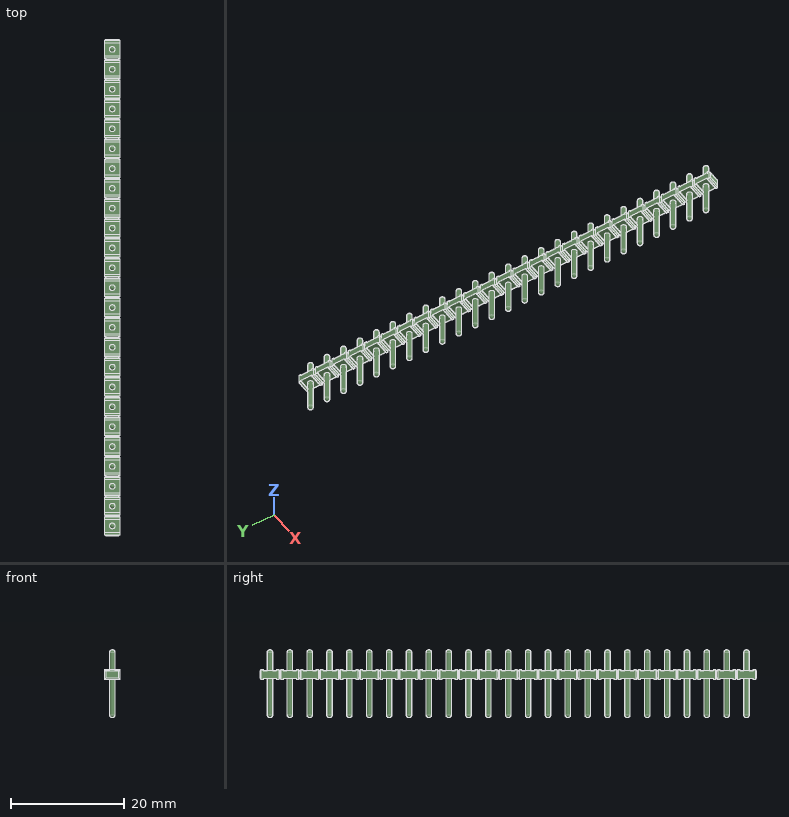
import cadquery as cq
import math

pin_count = 25
pitch = 3.5

body_width = 2.8
body_height = 1.8
collar_length = 0.6
collar_rise = 0.2
groove_depth = 0.3
groove_half_width = 0.2

pin_radius = 0.5
pin_length = 12.0
pin_above_body = 3.5

first_pin_y = -(pin_count - 1) * pitch / 2
pin_top_z = body_height / 2 + pin_above_body
pin_bottom_z = pin_top_z - pin_length


def tapered_end(cell_y, side):
    """Frustum that narrows from the full cell section to the end face on one side (+1 or -1) in Y."""
    full_y = cell_y + side * (pitch / 2 - groove_half_width)
    plane = cq.Plane(origin=(0, full_y, 0), xDir=(1, 0, 0), normal=(0, side, 0))
    return (
        cq.Workplane(plane)
        .rect(body_width, body_height)
        .workplane(offset=groove_half_width)
        .rect(body_width - 2 * groove_depth, body_height - 2 * groove_depth)
        .loft(combine=True)
    )


def insulator_cell(cell_y):
    """Block with a tapered face at each end and a recess above and below, leaving a collar at each end."""
    straight_length = pitch - 2 * groove_half_width
    recess_length = pitch - 2 * collar_length
    cell = cq.Workplane("XY").box(body_width, straight_length, body_height)
    recess = cq.Workplane("XY").box(body_width, recess_length, collar_rise)
    for side in (1, -1):
        recess_z = side * (body_height - collar_rise) / 2
        cell = cell.cut(recess.translate((0, 0, recess_z)))
    cell = cell.translate((0, cell_y, 0))
    for side in (1, -1):
        cell = cell.union(tapered_end(cell_y, side))
    return cell


def pin(pin_y):
    """Round pin with hemispherical tips."""
    lower_center_z = pin_bottom_z + pin_radius
    upper_center_z = pin_top_z - pin_radius
    diagonal = pin_radius * math.sqrt(0.5)
    half_section = (
        cq.Workplane("XZ", origin=(0, pin_y, 0))
        .moveTo(0, pin_bottom_z)
        .threePointArc((diagonal, lower_center_z - diagonal), (pin_radius, lower_center_z))
        .lineTo(pin_radius, upper_center_z)
        .threePointArc((diagonal, upper_center_z + diagonal), (0, pin_top_z))
        .close()
    )
    return half_section.revolve(360, (0, 0, 0), (0, 1, 0))


result = cq.Workplane("XY")
for index in range(pin_count):
    y = first_pin_y + index * pitch
    result = result.union(insulator_cell(y)).union(pin(y))